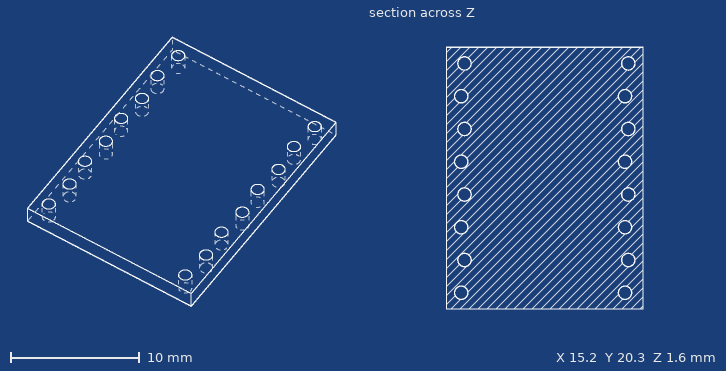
import cadquery as cq

width = 15.25
length = 20.32
thickness = 1.6

hole_diameter = 1.02
holes_per_column = 8
pitch = length / holes_per_column
column_spacing = 5 * pitch
stagger = pitch / 10


def hole_centers():
    """Hole positions from the -Y end to the +Y end, starting offset towards -X."""
    centers = []
    for column_x in (-column_spacing / 2, column_spacing / 2):
        for row in range(holes_per_column):
            side = -1 if row % 2 == 0 else 1
            x = column_x + side * stagger / 2
            y = (row - (holes_per_column - 1) / 2) * pitch
            centers.append((x, y))
    return centers


board = cq.Workplane("XY").box(width, length, thickness)
result = board.faces(">Z").workplane().pushPoints(hole_centers()).hole(hole_diameter)